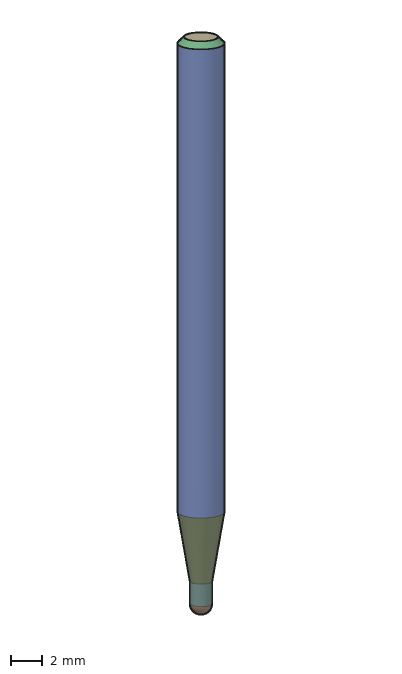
import cadquery as cq

total_length = 38.0
shank_diameter = 3.0
top_chamfer = 0.4
neck_radius = 0.72
cone_bottom = 2.2
cone_top = 6.75

shank_radius = shank_diameter / 2
arc_offset = neck_radius * 0.5**0.5

profile = (
    cq.Workplane("XZ")
    .moveTo(0, 0)
    .threePointArc((arc_offset, neck_radius - arc_offset), (neck_radius, neck_radius))
    .lineTo(neck_radius, cone_bottom)
    .lineTo(shank_radius, cone_top)
    .lineTo(shank_radius, total_length - top_chamfer)
    .lineTo(shank_radius - top_chamfer, total_length)
    .lineTo(0, total_length)
    .close()
)

result = profile.revolve(360, (0, 0, 0), (0, 1, 0))